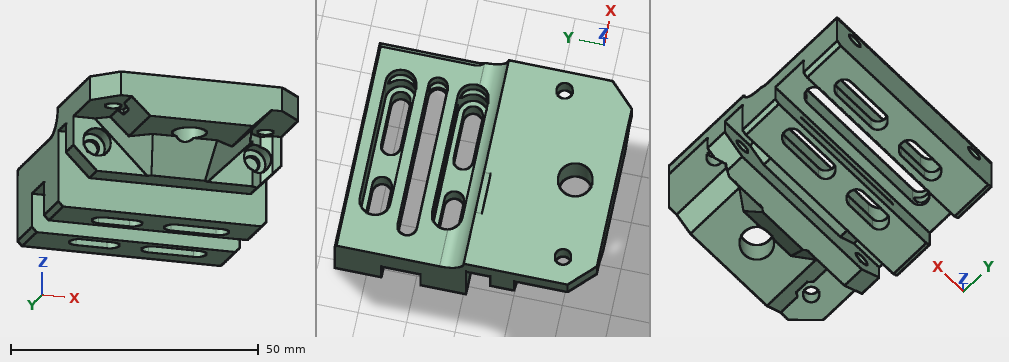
import cadquery as cq
import math

width = 44.1
length = 53.0
height = 21.0
half_width = width / 2

plate_thickness = 5.05
plate_bottom = height - plate_thickness
plate_corner = 5.0

block_front = 25.95
block_top = 16.0
block_bottom_chamfer = 1.0
plate_rear = 26.4
step_radius = height - block_top
groove_front = 35.35
groove_rear = 43.4
groove_top = 8.05
rear_edge_run = 0.35
rear_edge_drop = 1.0

side_relief = 0.95
runout_start = 33.05
runout_radius = 2.5

slot_row_y = 39.55
slot_row_spacing = 14.9
slot_width = 4.0
middle_slot = (-16.95, 17.05)
recess_span = (-14.1, 17.15)
recess_width = 6.3
recess_floor = 5.0
recess_slots = ((-12.9, -2.4), (2.45, 16.0))

rib_bottom = 12.2
rib_bottom_half = 10.9
rib_top_half = 14.85

wall_front = 16.0
wall_rear = 20.95
wall_bottom = 4.9
wall_corner = 5.0

gusset_bottom_half = 6.4
gusset_top_half = 17.5
gusset_bottom_depth = 0.55
gusset_top_depth = 7.25
gusset_side_slope = 0.72

screw_diameter = 3.3
long_screw_x = 17.0
long_screw_z = 11.0
head_diameter = 5.8
head_depth = 4.0
center_hole_diameter = 7.0
center_hole_y = 8.05
plate_hole_diameter = 3.3
plate_holes = ((-16.5, 7.1), (18.0, 14.05))
nut_across_flats = 5.5
nut_turn = 30

notch_x = -6.55
notch_width = 8.65
notch_depth = 0.55
notch_length = 1.4
notch_overrun = 0.55


def profile_along_y(points, y_span):
    """Extrude a closed XZ outline between two Y positions."""
    plane = cq.Workplane("XZ", origin=(0, y_span[0], 0))
    return plane.polyline(points).close().extrude(y_span[0] - y_span[1])


def cylinder_along_y(diameter, x, z, y_span):
    plane = cq.Workplane("XZ", origin=(x, y_span[0], z))
    return plane.circle(diameter / 2).extrude(y_span[0] - y_span[1])


def slot(x_span, y, slot_breadth, z_span):
    plane = cq.Workplane("XY", origin=(sum(x_span) / 2, y, z_span[0]))
    return plane.slot2D(x_span[1] - x_span[0], slot_breadth).extrude(z_span[1] - z_span[0])


def block_and_plate():
    """Side outline of block and plate, extruded across the full width."""
    arc_offset = step_radius * math.sqrt(0.5)
    step_end = plate_rear + step_radius
    body = (
        cq.Workplane("YZ", origin=(-half_width, 0, 0))
        .moveTo(0, plate_bottom)
        .lineTo(block_front, plate_bottom)
        .lineTo(block_front, 0)
        .lineTo(groove_front, 0)
        .lineTo(groove_front, groove_top)
        .lineTo(groove_rear, groove_top)
        .lineTo(groove_rear, 0)
        .lineTo(length, 0)
        .lineTo(length, block_top - rear_edge_drop)
        .lineTo(length - rear_edge_run, block_top)
        .lineTo(step_end, block_top)
        .threePointArc(
            (step_end - arc_offset, height - arc_offset),
            (plate_rear, height),
        )
        .lineTo(0, height)
        .close()
        .extrude(width)
    )
    body = body.edges("|Z and <Y").chamfer(plate_corner)
    return body.edges("|Y and <Z").chamfer(block_bottom_chamfer)


def rib():
    outline = [
        (-rib_top_half, plate_bottom),
        (-rib_bottom_half, rib_bottom),
        (rib_bottom_half, rib_bottom),
        (rib_top_half, plate_bottom),
    ]
    return profile_along_y(outline, (0, block_front))


def wall():
    outline = [
        (-half_width, plate_bottom),
        (-half_width, wall_bottom + wall_corner),
        (-half_width + wall_corner, wall_bottom),
        (half_width - wall_corner, wall_bottom),
        (half_width, wall_bottom + wall_corner),
        (half_width, plate_bottom),
    ]
    return profile_along_y(outline, (wall_front, wall_rear))


def gusset_section(wall_half, depth):
    front_half = wall_half - depth / gusset_side_slope
    return [
        (-wall_half, wall_front),
        (-front_half, wall_front - depth),
        (front_half, wall_front - depth),
        (wall_half, wall_front),
    ]


def gusset():
    return (
        cq.Workplane("XY", origin=(0, 0, wall_bottom))
        .polyline(gusset_section(gusset_bottom_half, gusset_bottom_depth))
        .close()
        .workplane(offset=plate_bottom - wall_bottom)
        .polyline(gusset_section(gusset_top_half, gusset_top_depth))
        .close()
        .loft(ruled=True)
    )


def block_slots():
    cuts = slot(middle_slot, slot_row_y, slot_width, (0, block_top))
    for side in (-1, 1):
        y = slot_row_y + side * slot_row_spacing / 2
        cuts = cuts.union(slot(recess_span, y, recess_width, (recess_floor, height)))
        for span in recess_slots:
            cuts = cuts.union(slot(span, y, slot_width, (0, recess_floor)))
    return cuts


def long_screw_holes():
    """Holes along Y through wall and block, counterbored at the wall's front face."""
    head_span = (wall_front, wall_front + head_depth)
    cuts = cq.Workplane("XY")
    for x in (-long_screw_x, long_screw_x):
        shank = cylinder_along_y(screw_diameter, x, long_screw_z, (wall_front, length))
        head = cylinder_along_y(head_diameter, x, long_screw_z, head_span)
        cuts = cuts.union(shank.union(head))
    return cuts


def plate_hole_cuts():
    """Vertical holes in the plate; the small ones have hexagonal nut clearance below the plate."""
    cuts = (
        cq.Workplane("XY")
        .center(0, center_hole_y)
        .circle(center_hole_diameter / 2)
        .extrude(height)
    )
    nut_across_corners = nut_across_flats / math.cos(math.pi / 6)
    for x, y in plate_holes:
        hole = cq.Workplane("XY").circle(plate_hole_diameter / 2).extrude(height)
        nut = cq.Workplane("XY").polygon(6, nut_across_corners).extrude(plate_bottom)
        nut = nut.rotate((0, 0, 0), (0, 0, 1), nut_turn)
        cuts = cuts.union(hole.union(nut).translate((x, y, 0)))
    return cuts


def notch():
    radius = (notch_width**2 / 4 + notch_depth**2) / (2 * notch_depth)
    axis_z = height - notch_depth + radius
    y_span = (plate_rear - notch_length, plate_rear + notch_overrun)
    return cylinder_along_y(2 * radius, notch_x, axis_z, y_span)


def side_relief_cut():
    """45 degree chamfer that sweeps up out of the block along an arc at its front end."""
    plane = cq.Plane(
        origin=(half_width - side_relief, 0, block_top),
        xDir=(0, 1, 0),
        normal=(1, 0, -1),
    )
    arc_offset = runout_radius * math.sqrt(0.5)
    return (
        cq.Workplane(plane)
        .moveTo(runout_start, 0)
        .lineTo(length, 0)
        .lineTo(length, runout_radius)
        .lineTo(runout_start - runout_radius, runout_radius)
        .threePointArc(
            (runout_start - arc_offset, runout_radius - arc_offset),
            (runout_start, 0),
        )
        .close()
        .extrude(side_relief * math.sqrt(2))
    )


result = block_and_plate().union(rib()).union(wall()).union(gusset())
for cut in (block_slots(), long_screw_holes(), plate_hole_cuts(), notch(), side_relief_cut()):
    result = result.cut(cut)